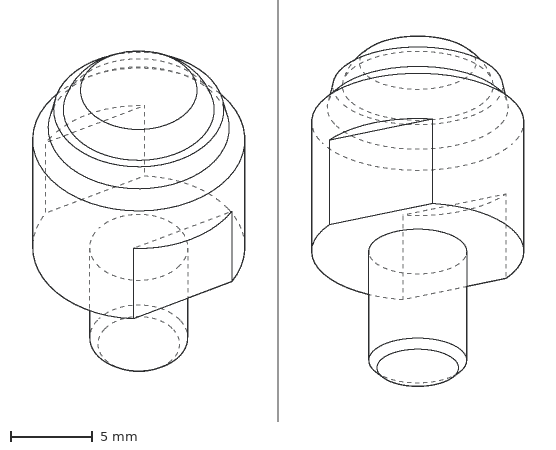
import cadquery as cq
import math

total_height = 21.0
shank_length = 8.0
flat_top = 13.82
body_top = 16.93
collar_base = 17.9
collar_top = 19.4

shank_radius = 6.0 / 2
body_radius = 13.0 / 2
collar_base_radius = 5.55
collar_top_radius = 5.2
dome_base_radius = 4.62
dome_top_radius = 3.57

shank_chamfer = 0.5
dome_bulge = 0.17
across_flats = 11.0


def dome_flank_midpoint():
    """Middle of the dome arc, pushed outward from the middle of its chord."""
    rise = total_height - collar_top
    inset = dome_base_radius - dome_top_radius
    chord = math.hypot(rise, inset)
    return (
        (dome_base_radius + dome_top_radius) / 2 + dome_bulge * rise / chord,
        (collar_top + total_height) / 2 + dome_bulge * inset / chord,
    )


def turned_body():
    """Shank, body, tapered collar and flat-topped dome revolved about Z."""
    return (
        cq.Workplane("XZ")
        .moveTo(0, 0)
        .lineTo(shank_radius - shank_chamfer, 0)
        .lineTo(shank_radius, shank_chamfer)
        .lineTo(shank_radius, shank_length)
        .lineTo(body_radius, shank_length)
        .lineTo(body_radius, body_top)
        .lineTo(collar_base_radius, collar_base)
        .lineTo(collar_top_radius, collar_top)
        .lineTo(dome_base_radius, collar_top)
        .threePointArc(dome_flank_midpoint(), (dome_top_radius, total_height))
        .lineTo(0, total_height)
        .close()
        .revolve(360, (0, 0, 0), (0, 1, 0))
    )


def flat_cutter(side):
    """Block outside one wrench flat; side is -1 or +1 along X."""
    return (
        cq.Workplane("XY")
        .workplane(offset=shank_length)
        .center(side * (across_flats / 2 + body_radius / 2), 0)
        .rect(body_radius, 2 * body_radius)
        .extrude(flat_top - shank_length)
    )


result = turned_body()
for side in (-1, 1):
    result = result.cut(flat_cutter(side))